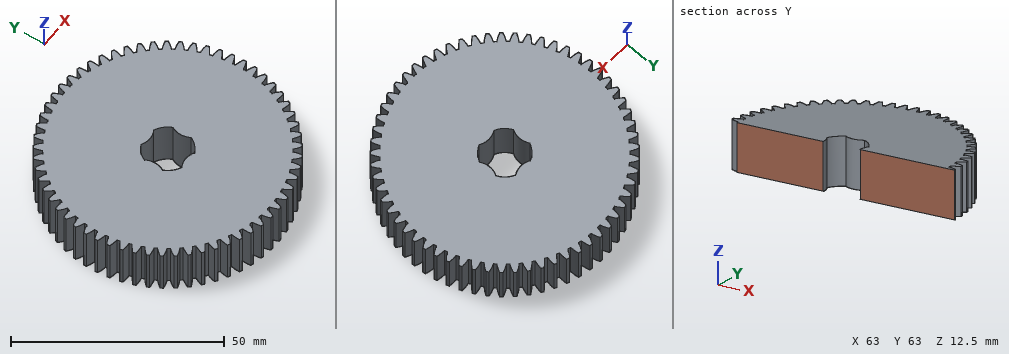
import cadquery as cq
import math

tooth_count = 61
outer_diameter = 63.0
face_width = 12.5
pressure_angle = math.radians(20)
dedendum_factor = 1.25
flank_points = 4

module = outer_diameter / (tooth_count + 2)
outer_radius = outer_diameter / 2
pitch_radius = module * tooth_count / 2
root_radius = pitch_radius - dedendum_factor * module
base_radius = pitch_radius * math.cos(pressure_angle)

bore_radius = 6.35
lobe_count = 4
lobe_radius = 5.05
lobe_reach = 5.1


def polar(radius, angle):
    return (radius * math.cos(angle), radius * math.sin(angle))


def involute(radius):
    """Polar angle of the involute where it reaches this radius."""
    pressure = math.acos(base_radius / radius)
    return math.tan(pressure) - pressure


def half_tooth_angle(radius):
    """Half of the angle that one tooth spans at this radius."""
    return math.pi / (2 * tooth_count) + involute(pitch_radius) - involute(radius)


def toothed_disc():
    """Disc with one tooth centred on +X and the others evenly around it."""
    pitch_angle = 2 * math.pi / tooth_count
    root_half = half_tooth_angle(root_radius)
    step = (outer_radius - root_radius) / (flank_points - 1)
    flank_radii = [root_radius + i * step for i in range(flank_points)]

    outline = cq.Workplane("XY").moveTo(*polar(root_radius, -root_half))
    for tooth in range(tooth_count):
        middle = tooth * pitch_angle
        rising = [polar(r, middle - half_tooth_angle(r)) for r in flank_radii]
        falling = [polar(r, middle + half_tooth_angle(r)) for r in reversed(flank_radii)]
        tip_middle = polar(outer_radius, middle)
        gap_middle = polar(root_radius, middle + pitch_angle / 2)
        gap_end = polar(root_radius, middle + pitch_angle - root_half)
        outline = outline.spline(rising[1:], includeCurrent=True)
        outline = outline.threePointArc(tip_middle, falling[0])
        outline = outline.spline(falling[1:], includeCurrent=True)
        outline = outline.threePointArc(gap_middle, gap_end)
    return outline.close().extrude(face_width)


def lobed_bore():
    """Solid in the shape of the through hole."""
    bore = cq.Workplane("XY").circle(bore_radius).extrude(face_width)
    lobes = (
        cq.Workplane("XY")
        .polarArray(lobe_reach + lobe_radius, 0, 360, lobe_count)
        .circle(lobe_radius)
        .extrude(face_width)
    )
    return bore.cut(lobes)


result = toothed_disc().cut(lobed_bore())